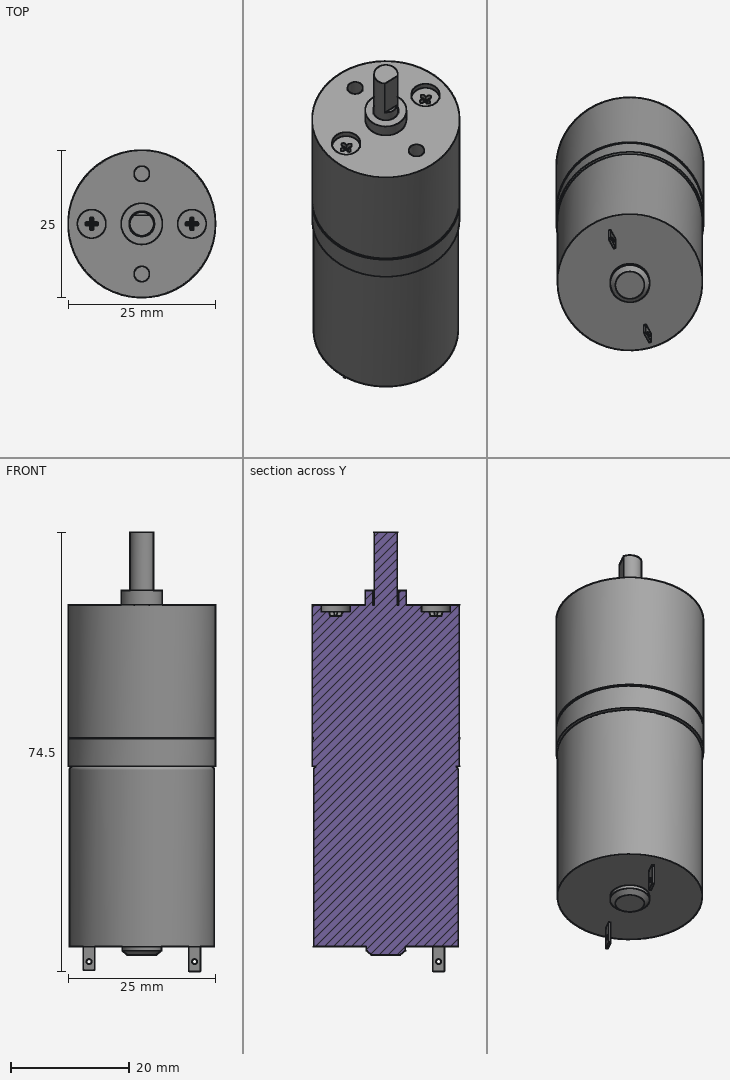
import cadquery as cq


total_height = 74.5
motor_bottom = 4.25
motor_height = 30.55
gearbox_height = 27.35
bushing_height = 2.45
gearbox_bottom = motor_bottom + motor_height
gearbox_top = gearbox_bottom + gearbox_height
bushing_top = gearbox_top + bushing_height

gearbox_diameter = 25.0
motor_diameter = 24.6
motor_shoulder_fillet = 0.6
groove_width = 0.2
groove_depth = 0.15
groove_center = gearbox_bottom + 4.8

bushing_diameter = 7.0
bushing_bore_diameter = 4.3
shaft_diameter = 4.0
flat_distance = 1.5
flat_start = bushing_top + 1.9

face_hole_offset = 8.5
mounting_hole_diameter = 2.6
mounting_hole_depth = 4.5
screw_recess_diameter = 4.85
screw_recess_depth = 1.1
screw_cross_span = 2.2
screw_cross_width = 0.7
screw_cross_depth = 0.75
screw_cross_draft = 15.0

boss_diameter = 6.7
boss_height = 1.4
boss_chamfer_height = 0.75
boss_tip_diameter = 4.9

terminal_width = 2.0
terminal_thickness = 0.4
terminal_corner_chamfer = 0.15
terminal_x = 8.95
terminal_y = 1.2
long_terminal = motor_bottom
short_terminal = 4.0
terminal_hole_diameter = 0.8
terminal_hole_drop = 2.5


def cylinder(diameter, bottom, top):
    """Cylinder on the motor axis between two heights."""
    return cq.Workplane("XY").workplane(offset=bottom).circle(diameter / 2).extrude(top - bottom)


def make_body():
    """Motor can with a rounded shoulder, topped by the wider grooved gearbox."""
    motor = cylinder(motor_diameter, motor_bottom, gearbox_bottom)
    motor = motor.faces(">Z").edges().fillet(motor_shoulder_fillet)
    gearbox = cylinder(gearbox_diameter, gearbox_bottom, gearbox_top)
    groove_bottom = groove_center - groove_width / 2
    groove_top = groove_center + groove_width / 2
    groove = cylinder(gearbox_diameter, groove_bottom, groove_top)
    groove = groove.cut(cylinder(gearbox_diameter - 2 * groove_depth, groove_bottom, groove_top))
    return motor.union(gearbox.cut(groove))


def make_bushing():
    """Raised ring that leaves a thin gap around the shaft."""
    ring = cylinder(bushing_diameter, gearbox_top, bushing_top)
    return ring.cut(cylinder(bushing_bore_diameter, gearbox_top, bushing_top))


def make_shaft():
    """Output shaft with a D flat on its +Y side, stopping above the bushing."""
    shaft = cylinder(shaft_diameter, gearbox_top, total_height)
    flat_depth = shaft_diameter / 2 - flat_distance
    flat = (
        cq.Workplane("XY")
        .workplane(offset=flat_start)
        .center(0, flat_distance + flat_depth / 2)
        .rect(shaft_diameter, flat_depth)
        .extrude(total_height - flat_start)
    )
    return shaft.cut(flat)


def make_face_holes():
    """Cutters for the mounting holes and the sunken cross-head screws."""
    face = cq.Workplane("XY").workplane(offset=gearbox_top)
    screw_head = cq.Workplane("XY").workplane(offset=gearbox_top - screw_recess_depth)
    screw_points = [(-face_hole_offset, 0), (face_hole_offset, 0)]
    mounting_points = [(0, -face_hole_offset), (0, face_hole_offset)]
    mounting_holes = face.pushPoints(mounting_points).circle(mounting_hole_diameter / 2)
    cutters = mounting_holes.extrude(-mounting_hole_depth)
    recesses = face.pushPoints(screw_points).circle(screw_recess_diameter / 2)
    cutters = cutters.union(recesses.extrude(-screw_recess_depth))
    for slot_angle in (0, 90):
        slots = screw_head.pushPoints(screw_points).slot2D(screw_cross_span, screw_cross_width, slot_angle)
        slots = slots.extrude(-screw_cross_depth, taper=screw_cross_draft)
        cutters = cutters.union(slots)
    return cutters


def make_boss():
    """Rear bearing boss, chamfered at its lower rim."""
    boss_chamfer_inset = (boss_diameter - boss_tip_diameter) / 2
    boss = cylinder(boss_diameter, motor_bottom - boss_height, motor_bottom)
    return boss.faces("<Z").edges().chamfer(boss_chamfer_height, boss_chamfer_inset)


def make_terminal(x, y, length):
    """Solder blade hanging from the motor base, with a wire hole through it along Y."""
    blade = (
        cq.Workplane("XY")
        .workplane(offset=motor_bottom)
        .center(x, y)
        .rect(terminal_width, terminal_thickness)
        .extrude(-length)
        .faces("<Z")
        .edges("|Y")
        .chamfer(terminal_corner_chamfer)
    )
    hole = (
        cq.Workplane("XZ", origin=(x, y, motor_bottom - terminal_hole_drop))
        .circle(terminal_hole_diameter / 2)
        .extrude(terminal_thickness, both=True)
    )
    return blade.cut(hole)


result = (
    make_body()
    .union(make_bushing())
    .union(make_shaft())
    .cut(make_face_holes())
    .union(make_boss())
    .union(make_terminal(-terminal_x, -terminal_y, short_terminal))
    .union(make_terminal(terminal_x, terminal_y, long_terminal))
)